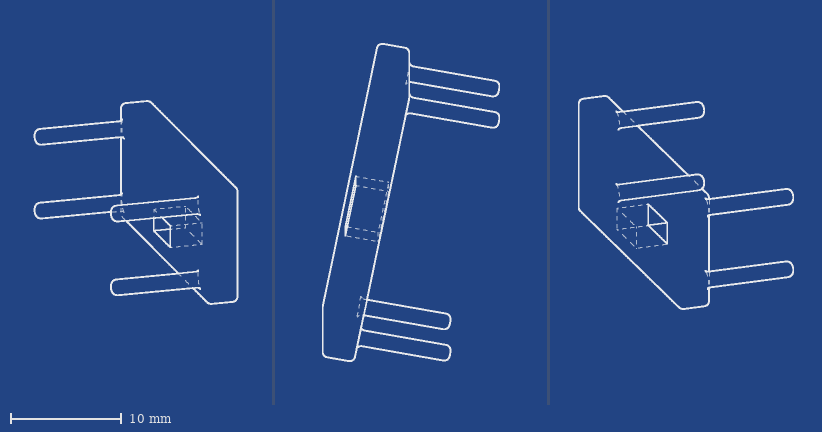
import cadquery as cq

plate_length = 27.0
plate_height = 11.0
plate_thickness = 3.0
edge_radius = 0.5

overall_depth = 11.5
pin_length = overall_depth - plate_thickness
pin_diameter = 1.45
pin_radius = pin_diameter / 2
pin_spacing_x = 23.44
pin_spacing_z = 7.02
root_radius = 0.5
tip_radius = 0.5

window_width = 5.05
window_height = 2.05
window_offset_x = -0.45
window_bottom_margin = 2.02
window_center_z = -plate_height / 2 + window_bottom_margin + window_height / 2


def make_plate():
    """Box rounded along every edge, then pierced by a sharp-edged window."""
    plate = (
        cq.Workplane("XY")
        .box(plate_length, plate_thickness, plate_height)
        .edges()
        .fillet(edge_radius)
    )
    window = (
        cq.Workplane("XY")
        .box(window_width, 2 * plate_thickness, window_height)
        .translate((window_offset_x, 0, window_center_z))
    )
    return plate.cut(window).translate((0, plate_thickness / 2, 0))


def make_pin():
    """Revolved pin with a flared root and a rounded tip, rooted inside the plate."""
    embed_depth = plate_thickness / 2
    flare_radius = pin_radius + root_radius
    diagonal = 0.5 ** 0.5
    root_mid = (
        flare_radius - root_radius * diagonal,
        -root_radius * (1 - diagonal),
    )
    tip_mid = (
        pin_radius - tip_radius * (1 - diagonal),
        -pin_length + tip_radius * (1 - diagonal),
    )
    return (
        cq.Workplane("XY")
        .moveTo(0, embed_depth)
        .lineTo(flare_radius, embed_depth)
        .lineTo(flare_radius, 0)
        .threePointArc(root_mid, (pin_radius, -root_radius))
        .lineTo(pin_radius, -pin_length + tip_radius)
        .threePointArc(tip_mid, (pin_radius - tip_radius, -pin_length))
        .lineTo(0, -pin_length)
        .close()
        .revolve(360, (0, 0, 0), (0, 1, 0))
    )


result = make_plate()
pin = make_pin()
for side_x in (-1, 1):
    for side_z in (-1, 1):
        pin_position = (side_x * pin_spacing_x / 2, 0, side_z * pin_spacing_z / 2)
        result = result.union(pin.translate(pin_position))